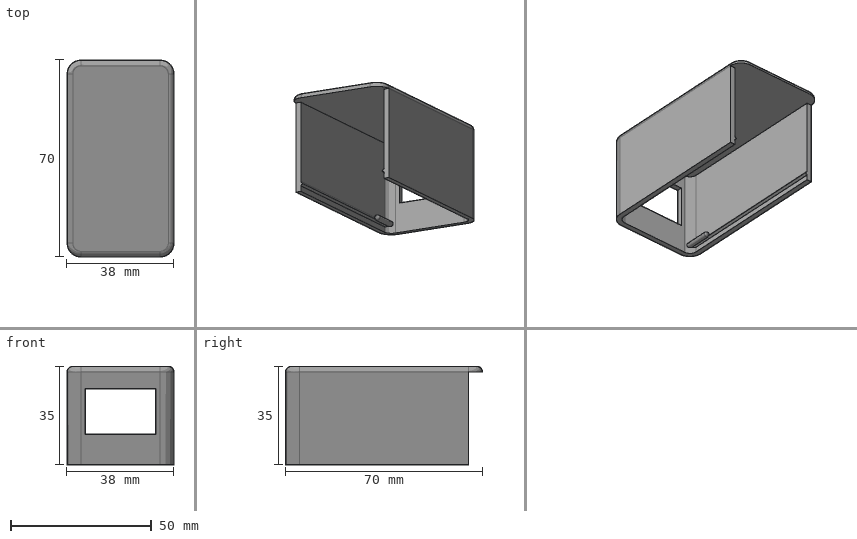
import cadquery as cq

width = 38.0
length = 70.0
height = 35.0
wall = 2.0
corner_radius = 5.0
top_round = 2.0
rear_overhang = 5.0

window_width = 25.0
window_height = 16.0
window_sill = 10.9

ridge_bottom = 2.0
ridge_top = 3.5
ridge_root_radius = 0.5

pin_diameter = 2.1
pin_length = 10.35
pin_height = 3.5
pin_tip_round = 0.7
pin_wall_overlap = 0.1

inner_half_width = width / 2 - wall
inner_height = height - wall
inner_front = -length / 2 + wall
side_wall_end = length / 2 - rear_overhang


def rounded_block(x_size, y_size, z_size, radius):
    """Block standing on Z = 0 with rounded vertical edges."""
    block = cq.Workplane("XY").box(x_size, y_size, z_size, centered=(True, True, False))
    return block.edges("|Z").fillet(radius)


def make_shell():
    """Hollow cover whose lid reaches past the rear ends of the side walls."""
    outer = rounded_block(width, length, height, corner_radius).faces(">Z").edges().fillet(top_round)
    cavity = rounded_block(2 * inner_half_width, length - 2 * wall, inner_height, corner_radius - wall)
    rear_opening = (
        cq.Workplane("XY", origin=(0, side_wall_end, 0))
        .box(width, rear_overhang, inner_height, centered=(True, False, False))
    )
    return outer.cut(cavity).cut(rear_opening)


def make_window():
    """Rectangular cutter through the front wall only."""
    return (
        cq.Workplane("XY", origin=(0, -length / 2, window_sill))
        .box(window_width, wall, window_height, centered=(True, False, False))
    )


def make_ridge():
    """Triangular ridge with 45 degree flanks on the +X wall, blended into the wall above it."""
    depth = (ridge_top - ridge_bottom) / 2
    root_x = inner_half_width + wall / 2
    blend_top = ridge_top + ridge_root_radius
    profile = [
        (root_x, ridge_bottom),
        (inner_half_width, ridge_bottom),
        (inner_half_width - depth, ridge_bottom + depth),
        (inner_half_width, ridge_top),
        (inner_half_width, blend_top),
        (root_x, blend_top),
    ]
    ridge = (
        cq.Workplane("XZ", origin=(0, inner_front, 0))
        .polyline(profile)
        .close()
        .extrude(inner_front - side_wall_end)
    )
    root_edge = cq.selectors.NearestToPointSelector((inner_half_width, 0, ridge_top))
    return ridge.edges("|Y").edges(root_edge).fillet(ridge_root_radius)


def make_pin():
    """Round-tipped pin along Y, slightly sunk into the +X wall so the two join."""
    pin_x = inner_half_width - pin_diameter / 2 + pin_wall_overlap
    pin = (
        cq.Workplane("XZ", origin=(pin_x, inner_front, pin_height))
        .circle(pin_diameter / 2)
        .extrude(-pin_length)
    )
    return pin.faces(">Y").edges().fillet(pin_tip_round)


result = make_shell().cut(make_window())
for feature in (make_ridge(), make_pin()):
    result = result.union(feature).union(feature.mirror("YZ"))